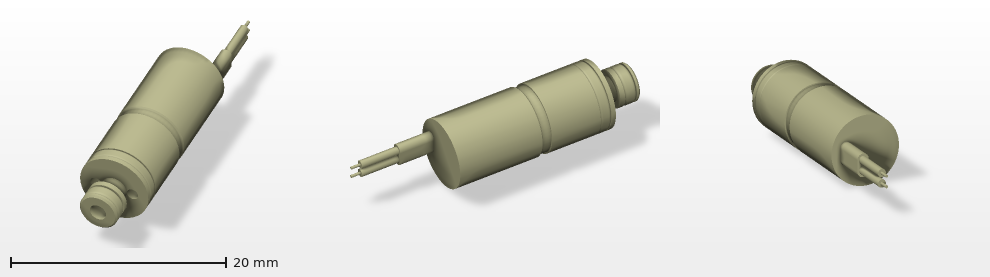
import cadquery as cq
import math

total_length = 28.87

body_radius = 3.5
body_front = 3.58
body_back = 20.3
lip_width = 0.45
body_ring_width = 1.15
body_ring_rounding = 0.25
waist_start = 10.42
waist_end = 11.3
waist_radius = 3.32
body_edge_chamfer = 0.17

neck_radius = 1.27
head_radius = 1.93
head_back = 2.2
tip_chamfer = 0.17
head_lip_width = 0.38
head_ring_width = 1.3
head_ring_rounding = 0.35

bore_diameter = 1.67
bore_depth = 2.2
port_diameter = 1.15
port_offset = 1.88
port_depth = 1.15

cable_x = 2.0
sleeve_width = 1.15
sleeve_height = 2.35
sleeve_end = 23.9
wire_spacing = 1.05
wire_radius = 0.4
wire_end = 27.9
core_radius = 0.15


def add_rounded_ring(profile, start, width, radius, rounding):
    """Continue the profile across a ring whose two shoulders are quarter rounds."""
    end = start + width
    low = radius - rounding
    shoulder_inset = rounding * (1 - math.sqrt(0.5))
    middle = radius - shoulder_inset
    return (
        profile.lineTo(low, start)
        .threePointArc((middle, start + shoulder_inset), (radius, start + rounding))
        .lineTo(radius, end - rounding)
        .threePointArc((middle, end - shoulder_inset), (low, end))
        .lineTo(radius, end)
    )


def turned_body():
    """Revolve the tip, neck and main body around Y."""
    profile = cq.Workplane("XY").lineTo(head_radius - tip_chamfer, 0)
    profile = profile.lineTo(head_radius, tip_chamfer).lineTo(head_radius, head_lip_width)
    profile = add_rounded_ring(profile, head_lip_width, head_ring_width, head_radius, head_ring_rounding)
    profile = (
        profile.lineTo(head_radius, head_back)
        .lineTo(neck_radius, head_back)
        .lineTo(neck_radius, body_front)
        .lineTo(body_radius, body_front)
        .lineTo(body_radius, body_front + lip_width)
    )
    profile = add_rounded_ring(
        profile, body_front + lip_width, body_ring_width, body_radius, body_ring_rounding
    )
    profile = (
        profile.lineTo(body_radius, waist_start)
        .lineTo(waist_radius, waist_start)
        .lineTo(waist_radius, waist_end)
        .lineTo(body_radius, waist_end + body_edge_chamfer)
        .lineTo(body_radius, body_back)
        .lineTo(0, body_back)
        .close()
    )
    return profile.revolve(360, (0, 0, 0), (0, 1, 0))


def rod(x, z, start, end, radius):
    """Round bar along Y between two stations."""
    return cq.Workplane("XZ", origin=(x, start, z)).circle(radius).extrude(start - end)


def cable():
    """Flat sleeve holding two insulated wires with bare cores."""
    parts = (
        cq.Workplane("XZ", origin=(cable_x, body_back, 0))
        .slot2D(sleeve_height, sleeve_width, 90)
        .extrude(body_back - sleeve_end)
    )
    for z in (-wire_spacing / 2, wire_spacing / 2):
        parts = parts.union(rod(cable_x, z, sleeve_end, wire_end, wire_radius))
        parts = parts.union(rod(cable_x, z, wire_end, total_length, core_radius))
    return parts


result = turned_body().union(cable())

result = result.cut(rod(0, 0, 0, bore_depth, bore_diameter / 2))

for x in (-port_offset, port_offset):
    result = result.cut(rod(x, 0, body_front, body_front + port_depth, port_diameter / 2))